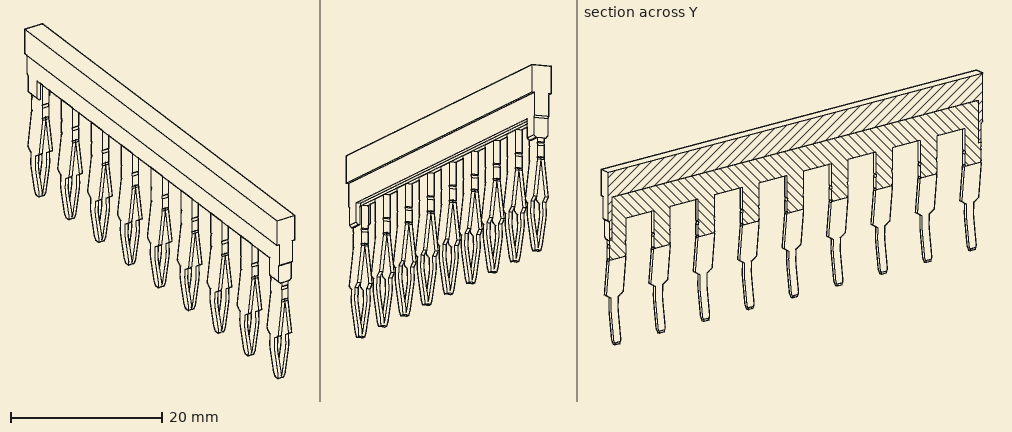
import cadquery as cq
import math

housing_length = 62.0
bar_width = 2.8
bar_height = 3.7
band_width = 2.05
band_bottom_z = -6.8
leg_bottom_z = -9.75
leg_inset = 0.25
leg_width = 2.25
leg_chamfer = 0.3

blade_count = 9
blade_width = 2.8
end_blade_inset = 0.25
end_wall = 0.8
leaf_thickness = 0.5
blade_thickness = 2 * leaf_thickness
spine_top_z = -bar_height
spine_bottom_z = -7.2
spine_step = 0.09
spine_thickness = blade_thickness - 2 * spine_step
spine_length = housing_length - 2 * end_wall
blade_pitch = (housing_length - 2 * end_blade_inset - blade_width) / (blade_count - 1)

split_z = -12.3
spread_start_z = -13.0
spread_end_z = -17.7
neck_z = -18.2
step_top_z = -19.1
step_bottom_z = -19.3
close_start_z = -20.65
tip_z = -24.75
spread_angle = math.radians(6.5)
step_angle = math.radians(14)
close_angle = math.radians(8.4)

neck_width = 1.2
tip_taper_width = 0.22
tip_taper_height = 0.7

notch_depth = 0.1
upper_notch_z = (-10.3, -10.4, -10.8)
lower_notch_z = (-12.35, -12.4, -12.65)

blade_xs = [(i - (blade_count - 1) / 2) * blade_pitch for i in range(blade_count)]


def centred_box(length, width, bottom_z, top_z, x=0.0):
    box = cq.Workplane("XY").box(length, width, top_z - bottom_z, centered=(True, True, False))
    return box.translate((x, 0, bottom_z))


def make_leg(side):
    """A leg at one end; a 45 degree face eases its outer side into the band."""
    outer_x = housing_length / 2 - leg_inset
    leg_x = outer_x - leg_width / 2
    leg = centred_box(leg_width, band_width, leg_bottom_z, band_bottom_z, side * leg_x)
    leg = leg.faces("<Z").edges("|X").chamfer(leg_chamfer)
    ease = (
        cq.Workplane("XZ")
        .polyline([
            (side * outer_x, band_bottom_z),
            (side * housing_length / 2, band_bottom_z),
            (side * outer_x, band_bottom_z - leg_inset),
        ])
        .close()
        .extrude(band_width / 2, both=True)
    )
    return leg.union(ease)


def make_housing(comb):
    housing = centred_box(housing_length, bar_width, -bar_height, 0)
    housing = housing.union(centred_box(housing_length, band_width, band_bottom_z, -bar_height))
    for side in (-1, 1):
        housing = housing.union(make_leg(side))
    return housing.cut(comb)


def leaf_outline(inset):
    """Points down one face of a spread leaf, starting at split_z; inset 0 is the outer face."""
    start_y = leaf_thickness - inset
    bend = math.tan(spread_angle / 2)
    y_spread = start_y + (split_z - spread_start_z) * bend
    y_shoulder = y_spread + (spread_start_z - spread_end_z) * math.tan(spread_angle)
    y_neck = y_shoulder + (spread_end_z - neck_z) * bend
    y_bulge = y_neck + (step_top_z - step_bottom_z) * math.tan(step_angle)
    y_close = y_bulge - (step_bottom_z - close_start_z) * math.tan(close_angle / 2)
    return {
        "split": (start_y, split_z),
        "spread": (y_spread, spread_start_z),
        "shoulder": (y_shoulder, spread_end_z),
        "neck": (y_neck, neck_z),
        "step": (y_neck, step_top_z),
        "bulge": (y_bulge, step_bottom_z),
        "close": (y_close, close_start_z),
    }


def make_leaf():
    """The leaf on the +Y side, from the spine to the tip, as a solid as wide as a blade."""
    outer = leaf_outline(0.0)
    inner = leaf_outline(leaf_thickness)
    closing_slope = math.tan(close_angle)
    outer_tip_y = outer["close"][0] - (close_start_z - tip_z) * closing_slope
    tip_centre_z = tip_z + outer_tip_y * closing_slope
    meeting_z = close_start_z - inner["close"][0] / closing_slope
    bulge_middle = (
        outer["bulge"][0] - (step_bottom_z - close_start_z) / 2 * math.tan(close_angle / 4),
        (step_bottom_z + close_start_z) / 2,
    )
    return (
        cq.Workplane("YZ")
        .moveTo(0, spine_bottom_z)
        .lineTo(spine_thickness / 2, spine_bottom_z)
        .lineTo(leaf_thickness, spine_bottom_z - spine_step)
        .lineTo(*outer["split"])
        .tangentArcPoint(outer["spread"], relative=False)
        .lineTo(*outer["shoulder"])
        .tangentArcPoint(outer["neck"], relative=False)
        .lineTo(*outer["step"])
        .lineTo(*outer["bulge"])
        .threePointArc(bulge_middle, outer["close"])
        .lineTo(outer_tip_y, tip_z)
        .lineTo(0, tip_centre_z)
        .lineTo(0, meeting_z)
        .lineTo(*inner["close"])
        .tangentArcPoint(inner["bulge"], relative=False)
        .lineTo(*inner["step"])
        .lineTo(*inner["neck"])
        .tangentArcPoint(inner["shoulder"], relative=False)
        .lineTo(*inner["spread"])
        .tangentArcPoint(inner["split"], relative=False)
        .close()
        .extrude(blade_width / 2, both=True)
    )


def side_edge(side):
    """Points down one side of a blade seen face on, with both V notches."""
    edge_x = side * blade_width / 2
    root_x = side * (blade_width / 2 - notch_depth)
    neck_x = side * neck_width / 2
    tip_x = side * (neck_width / 2 - tip_taper_width)
    points = [(edge_x, spine_bottom_z)]
    for top_z, root_z, bottom_z in (upper_notch_z, lower_notch_z):
        points += [(edge_x, top_z), (root_x, root_z), (edge_x, bottom_z)]
    points += [
        (edge_x, spread_end_z),
        (neck_x, neck_z),
        (neck_x, tip_z + tip_taper_height),
        (tip_x, tip_z),
    ]
    return points


def make_blade():
    """Two mirrored leaves, trimmed to the outline of a blade seen face on."""
    leaf = make_leaf()
    leaves = leaf.union(leaf.mirror("XZ"))
    outline = (
        cq.Workplane("XZ")
        .polyline(side_edge(-1) + side_edge(1)[::-1])
        .close()
        .extrude(bar_width, both=True)
    )
    return leaves.intersect(outline)


def end_clearance(side):
    """The part of an end blade removed so that the leg keeps a wall around it."""
    x = side * (housing_length - end_wall) / 2
    return centred_box(end_wall, bar_width, leg_bottom_z, spine_top_z, x)


def make_comb():
    comb = centred_box(spine_length, spine_thickness, spine_bottom_z, spine_top_z)
    blade = make_blade()
    for x in blade_xs:
        comb = comb.union(blade.translate((x, 0, 0)))
    for side in (-1, 1):
        comb = comb.cut(end_clearance(side))
    return comb


comb = make_comb()
housing = make_housing(comb)

result = cq.Compound.makeCompound([housing.val(), comb.val()])